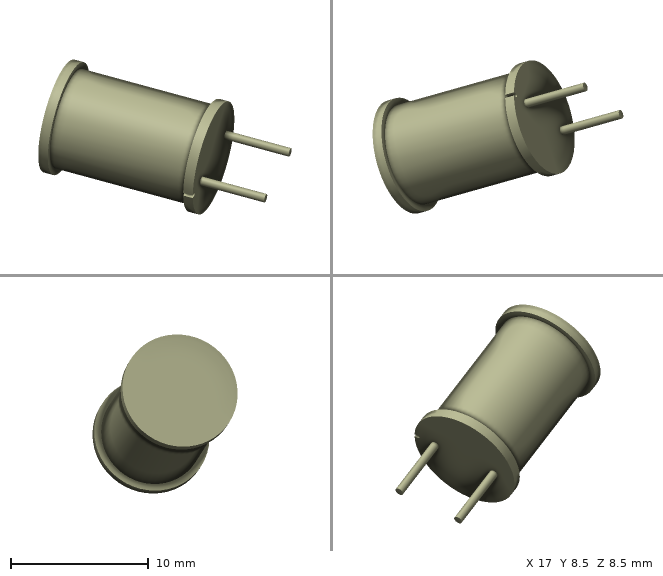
import cadquery as cq

total_length = 17.0
flange_diameter = 8.5
flange_thickness = 0.75

body_diameter = 7.5

lead_length = 5.0
lead_diameter = 0.65
lead_spacing = 5.0

notch_width = 0.25
notch_straight_depth = 0.29

lead_flange_end = total_length - lead_length
lead_flange_start = lead_flange_end - flange_thickness


def rod_along_x(diameter, start, length, y=0.0):
    """Round rod parallel to X, with its axis at the given Y and at Z = 0."""
    return (
        cq.Workplane("YZ", origin=(start, y, 0))
        .circle(diameter / 2)
        .extrude(length)
    )


bobbin = rod_along_x(body_diameter, 0, lead_flange_end)
for flange_start in (0, lead_flange_start):
    bobbin = bobbin.union(rod_along_x(flange_diameter, flange_start, flange_thickness))

rim_y = -flange_diameter / 2
notch_round_y = rim_y + notch_straight_depth
notch_bottom = rod_along_x(notch_width, lead_flange_start, flange_thickness, notch_round_y)
notch_walls = (
    cq.Workplane("YZ", origin=(lead_flange_start, rim_y, 0))
    .rect(2 * notch_straight_depth, notch_width)
    .extrude(flange_thickness)
)
bobbin = bobbin.cut(notch_walls.union(notch_bottom))

result = bobbin
for side in (-1, 1):
    lead_y = side * lead_spacing / 2
    lead = rod_along_x(lead_diameter, lead_flange_end, lead_length, lead_y)
    result = result.union(lead)